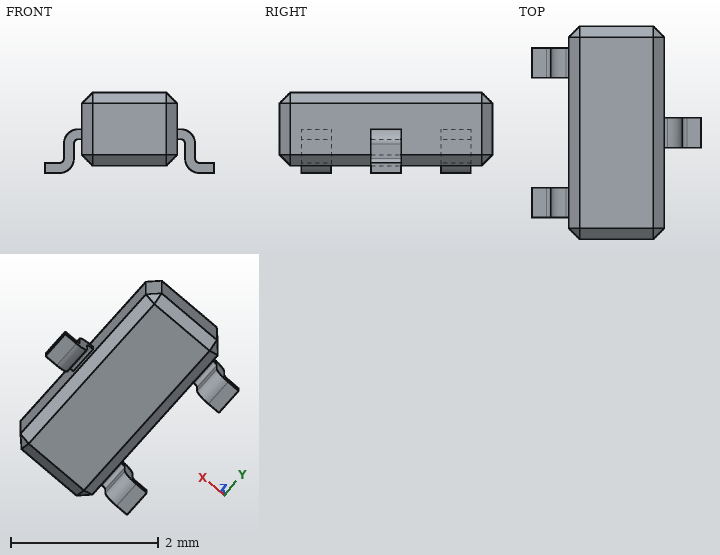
import cadquery as cq

length = 2.9
span = 2.3
height = 1.1

housing_width = 1.3
standoff = 0.1
chamfer = 0.15

lead_width = 0.41
lead_thickness = 0.14
lead_inner_radius = 0.06
lead_outer_radius = lead_inner_radius + lead_thickness
shoulder_top = 0.6
riser_outer_x = 0.893
riser_inner_x = riser_outer_x - lead_thickness
lead_pitch = 1.9


def make_housing():
    """Block with every edge chamfered, raised above the seating plane."""
    block = cq.Workplane("XY").box(
        housing_width, length, height - standoff, centered=(True, True, False)
    )
    return block.edges().chamfer(chamfer).translate((0, 0, standoff))


def make_lead(y_centre, turn):
    """S-bent strip on the +X side, turned about Z by the given angle, then moved to y_centre."""
    housing_side = housing_width / 2
    shoulder_bottom = shoulder_top - lead_thickness
    strip = (
        cq.Workplane("XZ")
        .moveTo(housing_side, shoulder_top)
        .lineTo(riser_outer_x - lead_outer_radius, shoulder_top)
        .radiusArc((riser_outer_x, shoulder_top - lead_outer_radius), lead_outer_radius)
        .lineTo(riser_outer_x, lead_outer_radius)
        .radiusArc((riser_outer_x + lead_inner_radius, lead_thickness), -lead_inner_radius)
        .lineTo(span / 2, lead_thickness)
        .lineTo(span / 2, 0)
        .lineTo(riser_inner_x + lead_outer_radius, 0)
        .radiusArc((riser_inner_x, lead_outer_radius), lead_outer_radius)
        .lineTo(riser_inner_x, shoulder_top - lead_outer_radius)
        .radiusArc((riser_inner_x - lead_inner_radius, shoulder_bottom), -lead_inner_radius)
        .lineTo(housing_side, shoulder_bottom)
        .close()
        .extrude(lead_width / 2, both=True)
    )
    return strip.rotate((0, 0, 0), (0, 0, 1), turn).translate((0, y_centre, 0))


housing = make_housing()

lead_places = [(0, 0), (-lead_pitch / 2, 180), (lead_pitch / 2, 180)]
leads = [make_lead(y_centre, turn) for y_centre, turn in lead_places]

result = cq.Compound.makeCompound([housing.val(), *[lead.val() for lead in leads]])